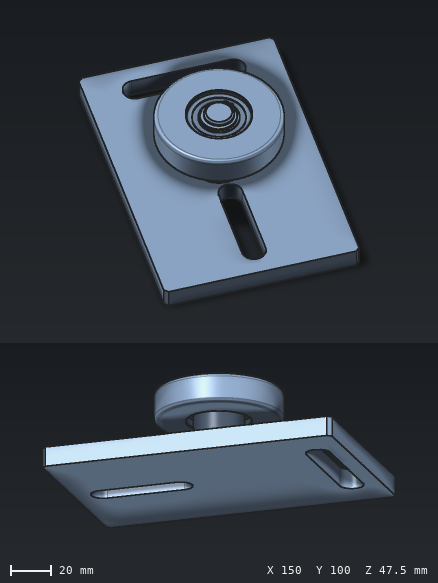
import cadquery as cq
import math

PLATE_LENGTH = 150.0
PLATE_WIDTH = 100.0
PLATE_THICKNESS = 10.0
PLATE_CORNER_CHAMFER = 2.0
SLOT_WIDTH = 12.0
SLOT_CENTRE_X = 60.0
CROSS_SLOT_LENGTH = 62.5
LONG_SLOT_LENGTH = 52.0

TOTAL_HEIGHT = 47.5
SPINDLE_PROTRUSION = 1.5
ROLLER_WIDTH = 15.0
BEARING_RECESS = 2.0
BEARING_WIDTH = 9.0
RING_CLEARANCE = 0.5
RING_THICKNESS = 1.0
ROLLER_TOP = TOTAL_HEIGHT - SPINDLE_PROTRUSION
ROLLER_BOTTOM = ROLLER_TOP - ROLLER_WIDTH
BEARING_TOP = ROLLER_TOP - BEARING_RECESS
BEARING_BOTTOM = BEARING_TOP - BEARING_WIDTH
RING_BOTTOM = BEARING_TOP + RING_CLEARANCE
RING_TOP = RING_BOTTOM + RING_THICKNESS

ROLLER_DIAMETER = 64.0
ROLLER_EDGE_RADIUS = 2.0
BORE_CHAMFER = 0.5

BEARING_OUTER_DIAMETER = 32.0
BEARING_BORE = 15.0
BEARING_EDGE_RADIUS = 0.3
OUTER_RACE_INNER_DIAMETER = 26.5
INNER_RACE_OUTER_DIAMETER = 20.4
SHIELD_RECESS = 0.6

SHOULDER_DIAMETER = 25.0
SPINDLE_END_CHAMFER = 1.0
GROOVE_DIAMETER = 14.2

RING_OUTER_DIAMETER = 18.3
RING_OFFSET = 0.5
LUG_DIRECTION = 132.0
LUG_HOLE_DIAMETER = 1.6
LUG_HOLE_RADIUS = 8.4
LUG_DIAMETER = 3.2
LUG_HALF_ANGLE = 9.5
RING_GAP = 0.6


def cylinder(diameter, bottom, top):
    return cq.Workplane("XY").workplane(offset=bottom).circle(diameter / 2).extrude(top - bottom)


def make_plate():
    plate = (
        cq.Workplane("XY")
        .box(PLATE_LENGTH, PLATE_WIDTH, PLATE_THICKNESS, centered=(True, True, False))
        .edges("|Z")
        .chamfer(PLATE_CORNER_CHAMFER)
    )
    long_slot_outer_end = SLOT_CENTRE_X + SLOT_WIDTH / 2
    long_slot_centre = long_slot_outer_end - LONG_SLOT_LENGTH / 2
    cross_slot = (
        cq.Workplane("XY")
        .center(-SLOT_CENTRE_X, 0)
        .slot2D(CROSS_SLOT_LENGTH, SLOT_WIDTH, 90)
        .extrude(PLATE_THICKNESS)
    )
    long_slot = (
        cq.Workplane("XY")
        .center(long_slot_centre, 0)
        .slot2D(LONG_SLOT_LENGTH, SLOT_WIDTH)
        .extrude(PLATE_THICKNESS)
    )
    return plate.cut(cross_slot).cut(long_slot)


def make_spindle():
    shoulder = cylinder(SHOULDER_DIAMETER, PLATE_THICKNESS, BEARING_BOTTOM)
    journal = cylinder(BEARING_BORE, BEARING_BOTTOM, TOTAL_HEIGHT).faces(">Z").chamfer(SPINDLE_END_CHAMFER)
    groove = cylinder(BEARING_BORE, RING_BOTTOM, RING_TOP).cut(
        cylinder(GROOVE_DIAMETER, RING_BOTTOM, RING_TOP)
    )
    return shoulder.union(journal).cut(groove)


def make_roller():
    rim = cylinder(ROLLER_DIAMETER, ROLLER_BOTTOM, ROLLER_TOP).edges().fillet(ROLLER_EDGE_RADIUS)
    bore = cylinder(BEARING_OUTER_DIAMETER, ROLLER_BOTTOM, ROLLER_TOP)
    end_faces = rim.cut(bore).faces("<Z or >Z")
    bore_edges = end_faces.edges(cq.selectors.RadiusNthSelector(0))
    return bore_edges.chamfer(BORE_CHAMFER)


def make_bearing():
    outer = cylinder(BEARING_OUTER_DIAMETER, BEARING_BOTTOM, BEARING_TOP).edges().fillet(BEARING_EDGE_RADIUS)
    bearing = outer.cut(cylinder(BEARING_BORE, BEARING_BOTTOM, BEARING_TOP))
    for bottom in (BEARING_BOTTOM, BEARING_TOP - SHIELD_RECESS):
        top = bottom + SHIELD_RECESS
        shield_recess = cylinder(OUTER_RACE_INNER_DIAMETER, bottom, top).cut(
            cylinder(INNER_RACE_OUTER_DIAMETER, bottom, top)
        )
        bearing = bearing.cut(shield_recess)
    return bearing


def make_retaining_ring():
    """Built with its lugs toward +X, then turned to LUG_DIRECTION."""
    ring = cylinder(RING_OUTER_DIAMETER, RING_BOTTOM, RING_TOP).translate((-RING_OFFSET, 0, 0))
    lug_x = LUG_HOLE_RADIUS * math.cos(math.radians(LUG_HALF_ANGLE))
    lug_y = LUG_HOLE_RADIUS * math.sin(math.radians(LUG_HALF_ANGLE))
    lug_places = [(lug_x, lug_y, 0), (lug_x, -lug_y, 0)]
    for place in lug_places:
        ring = ring.union(cylinder(LUG_DIAMETER, RING_BOTTOM, RING_TOP).translate(place))
    for place in lug_places:
        ring = ring.cut(cylinder(LUG_HOLE_DIAMETER, RING_BOTTOM, RING_TOP).translate(place))
    gap = (
        cq.Workplane("XY")
        .workplane(offset=RING_BOTTOM)
        .box(RING_OUTER_DIAMETER, RING_GAP, RING_THICKNESS, centered=(False, True, False))
    )
    ring = ring.cut(gap).cut(cylinder(GROOVE_DIAMETER, RING_BOTTOM, RING_TOP))
    return ring.rotate((0, 0, 0), (0, 0, 1), LUG_DIRECTION)


plate = make_plate()
spindle = make_spindle()
roller = make_roller()
bearing = make_bearing()
retaining_ring = make_retaining_ring()

result = cq.Compound.makeCompound(
    [plate.val(), spindle.val(), roller.val(), bearing.val(), retaining_ring.val()]
)